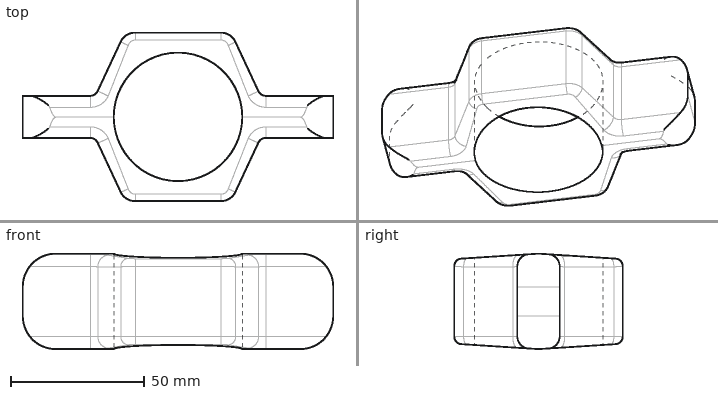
import cadquery as cq
import math

length = 116.8
body_width = 63.5
ridge_height = 36.0
bore_diameter = 48.3

arm_width = 15.9
flat_corner_x = 20.0
arm_corner_x = 31.1
outer_corner_radius = 6.1
inner_corner_radius = 3.0

side_height = 31.9
wall_height = 26.4
arm_end_radius = 12.5
trim_allowance = 11.7

half_width = body_width / 2
half_arm = arm_width / 2
roof_angle = math.atan((ridge_height - side_height) / body_width)


def roof_z(y):
    """Height of the upper roof plane above the mid plane."""
    return ridge_height / 2 - abs(y) * math.tan(roof_angle)


def rim_radius(y):
    """Radius that ends the rim rounding at the top of the flat wall."""
    rim_height = roof_z(y) - wall_height / 2
    return rim_height * math.tan(math.pi / 4 + roof_angle / 2)


def plan_prism():
    """Upright prism of the plan outline with its vertical corners rounded."""
    arm_end = length / 2 + trim_allowance
    quarter = [(flat_corner_x, half_width), (arm_corner_x, half_arm), (arm_end, half_arm)]
    right_side = quarter + [(x, -y) for x, y in reversed(quarter)]
    left_side = [(-x, -y) for x, y in right_side]
    prism = (
        cq.Workplane("XY")
        .polyline(right_side + left_side)
        .close()
        .extrude(ridge_height / 2, both=True)
    )

    def corner_edges(x, y):
        corners = [(sx * x, sy * y, 0) for sx in (-1, 1) for sy in (-1, 1)]
        edges = prism.edges("|Z").vals()
        return [e for e in edges if any((e.Center() - cq.Vector(c)).Length < 0.01 for c in corners)]

    solid = prism.val()
    outer_edges = corner_edges(flat_corner_x, half_width)
    inner_edges = corner_edges(arm_corner_x, half_arm)
    solid = solid.fillet(outer_corner_radius, outer_edges)
    return solid.fillet(inner_corner_radius, inner_edges)


def roof_prism():
    """Long bar whose upper and lower faces slope away from a central ridge."""
    points = [
        (0, ridge_height / 2),
        (half_width, side_height / 2),
        (half_width, -side_height / 2),
        (0, -ridge_height / 2),
        (-half_width, -side_height / 2),
        (-half_width, side_height / 2),
    ]
    half_bar = length / 2 + trim_allowance
    return cq.Workplane("YZ").polyline(points).close().extrude(half_bar, both=True).val()


def round_rims(solid):
    """Round both rims with a radius that shrinks as the roof falls towards the flats."""
    builder = cq.occ_impl.shapes.BRepFilletAPI_MakeFillet(solid.wrapped)
    arm_end = length / 2 + trim_allowance
    for edge in solid.Edges():
        center = edge.Center()
        on_rim = abs(center.z) > wall_height / 2
        on_ridge = abs(center.y) < 0.01
        at_arm_end = abs(center.x) > arm_end - 0.01
        if on_rim and not on_ridge and not at_arm_end and builder.Contour(edge.wrapped) == 0:
            start = rim_radius(edge.startPoint().y)
            end = rim_radius(edge.endPoint().y)
            builder.Add(start, end, edge.wrapped)
    for contour in range(1, builder.NbContours() + 1):
        for edge_index in range(1, builder.NbEdges(contour) + 1):
            edge = cq.Edge(builder.Edge(contour, edge_index))
            for vertex in edge.Vertices():
                builder.SetRadius(rim_radius(vertex.Y), contour, vertex.wrapped)
    return cq.Shape.cast(builder.Shape())


def arm_end_envelope():
    """Block with the rounded side profile of the arm ends."""
    return (
        cq.Workplane("XY")
        .box(length, body_width, ridge_height)
        .edges("|Y")
        .fillet(arm_end_radius)
    )


blank = plan_prism().intersect(roof_prism()).Solids()[0]
rounded = cq.Workplane("XY").newObject([round_rims(blank)])
bore = cq.Workplane("XY").circle(bore_diameter / 2).extrude(ridge_height / 2, both=True)
result = rounded.intersect(arm_end_envelope()).cut(bore)